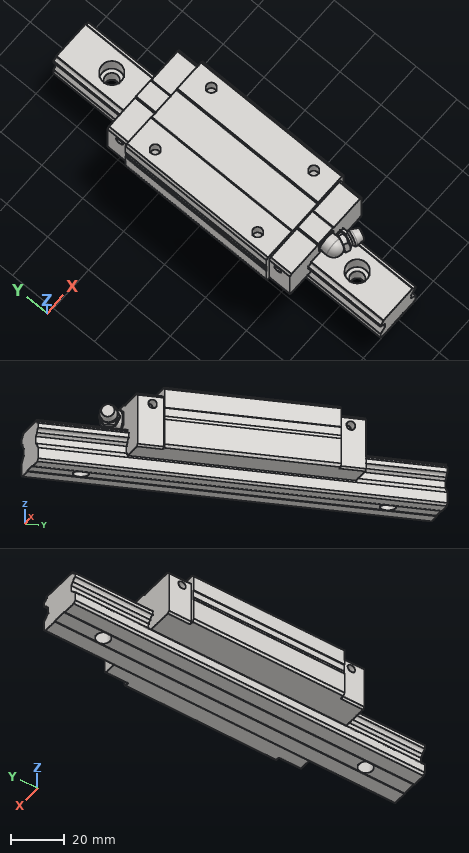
import cadquery as cq
import math


RAIL_LENGTH = 160.0
RAIL_HEIGHT = 16.6
RAIL_WIDTH = 20.0
RAIL_HALF_WIDTH = RAIL_WIDTH / 2
RAIL_TOP_HALF_WIDTH = 8.3
RAIL_WAIST_HALF_WIDTH = 7.4
RAIL_FOOT_CHAMFER = 1.0
FOOT_SIDE_TOP = 5.1
WAIST_BOTTOM = 7.7
WAIST_TOP = 10.4
LOWER_RACEWAY_BOTTOM = 11.5
LOWER_RACEWAY_TOP = 13.0
UPPER_RACEWAY_BOTTOM = 14.9
UPPER_RACEWAY_TOP = 16.2
RACEWAY_SAG = 0.3
UNDERCUT_HALF_WIDTH = 3.0
UNDERCUT_DEPTH = 0.3
RAIL_HOLE_SPACING = 120.0
RAIL_HOLE_DIAMETER = 6.0
RAIL_BORE_DIAMETER = 9.5
RAIL_BORE_DEPTH = 8.5

BLOCK_LENGTH = 69.0
BLOCK_WIDTH = 44.0
BLOCK_HALF_WIDTH = BLOCK_WIDTH / 2
BLOCK_BOTTOM = 6.2
BLOCK_TOP = 30.0
BLOCK_TOP_CHAMFER = 1.0
BLOCK_FOOT_CHAMFER_WIDTH = 0.6
BLOCK_FOOT_CHAMFER_HEIGHT = 1.3
TOP_RECESS_HALF_WIDTH = 7.0
TOP_RECESS_DEPTH = 0.5
SIDE_RECESS_TOP = 22.0
SIDE_RECESS_DEPTH = 0.2
SIDE_GROOVE_TOP = 18.5
SIDE_GROOVE_BOTTOM = 17.3
SIDE_GROOVE_SAG = 0.24
TAPPED_HOLE_DIAMETER = 4.2
TAPPED_HOLE_DEPTH = 6.0
TAPPED_HOLE_SPACING_X = 32.0
TAPPED_HOLE_SPACING_Y = 50.0
DRILL_POINT_ANGLE = 118.0

CARRIAGE_LENGTH = 89.3
CAP_HALF_WIDTH = 20.5
CAP_TOP = 27.2
CAP_TOP_CHAMFER = 1.0
CAP_FOOT_CHAMFER = 0.8
CAP_PAD_HALF_WIDTH = 4.2
CAP_PAD_HEIGHT = 0.5
PORT_DIAMETER = 3.4
PORT_DEPTH = 4.8
PORT_HEIGHT = 23.4
PORT_FROM_CAP_END = 6.0

NIPPLE_HEIGHT = 22.5
HEX_SIDES = 6
ELBOW_DIAMETER = 8.0
ELBOW_REACH = 3.8
FLANGE_ACROSS_FLATS = 8.2
FLANGE_THICKNESS = 0.5
OUTLET_ANGLE = 23.0
HEX_ACROSS_FLATS = 6.9
HEX_START = 3.0
HEX_END = 5.8
HEX_CHAMFER = 1.0
NECK_DIAMETER = 5.0
NECK_END = 6.7
HEAD_DIAMETER = 6.7
HEAD_WIDE_START = 7.5
HEAD_WIDE_END = 8.3
TIP_DIAMETER = 5.0
TIP_END = 11.5


def bulged_midpoint(start, end, bulge):
    """Middle point of an arc from start to end that bulges to the left of that direction."""
    dx = end[0] - start[0]
    dz = end[1] - start[1]
    chord = math.hypot(dx, dz)
    middle_x = (start[0] + end[0]) / 2 - bulge * dz / chord
    middle_z = (start[1] + end[1]) / 2 + bulge * dx / chord
    return (middle_x, middle_z)


def extrude_along_y(profile, length):
    """Solid of an XZ profile, centred on Y = 0."""
    return profile.extrude(length / 2, both=True)


def rail_envelope(length):
    """Rail outline without the underside recess and the bolt holes."""
    waist_x = RAIL_WAIST_HALF_WIDTH
    lower_start = (waist_x + LOWER_RACEWAY_BOTTOM - WAIST_TOP, LOWER_RACEWAY_BOTTOM)
    lower_end = (RAIL_HALF_WIDTH, LOWER_RACEWAY_TOP)
    upper_start = (RAIL_HALF_WIDTH, UPPER_RACEWAY_BOTTOM)
    upper_end = (RAIL_TOP_HALF_WIDTH, UPPER_RACEWAY_TOP)
    profile = (
        cq.Workplane("XZ")
        .lineTo(RAIL_HALF_WIDTH - RAIL_FOOT_CHAMFER, 0)
        .lineTo(RAIL_HALF_WIDTH, RAIL_FOOT_CHAMFER)
        .lineTo(RAIL_HALF_WIDTH, FOOT_SIDE_TOP)
        .lineTo(waist_x, WAIST_BOTTOM)
        .lineTo(waist_x, WAIST_TOP)
        .lineTo(*lower_start)
        .threePointArc(bulged_midpoint(lower_start, lower_end, RACEWAY_SAG), lower_end)
        .lineTo(*upper_start)
        .threePointArc(bulged_midpoint(upper_start, upper_end, RACEWAY_SAG), upper_end)
        .lineTo(RAIL_TOP_HALF_WIDTH, RAIL_HEIGHT)
        .lineTo(0, RAIL_HEIGHT)
        .mirrorY()
    )
    return extrude_along_y(profile, length)


def make_rail():
    rail = rail_envelope(RAIL_LENGTH)
    undercut = cq.Workplane("XY").box(
        2 * UNDERCUT_HALF_WIDTH, RAIL_LENGTH, UNDERCUT_DEPTH, centered=(True, True, False)
    )
    return (
        rail.cut(undercut)
        .copyWorkplane(cq.Workplane("XY", origin=(0, 0, RAIL_HEIGHT)))
        .rarray(1.6, RAIL_HOLE_SPACING, 1, 2)
        .cboreHole(RAIL_HOLE_DIAMETER, RAIL_BORE_DIAMETER, RAIL_BORE_DEPTH)
    )


def block_blank():
    """Middle section, with a shallow recess along its top and a recess and groove along each side."""
    recess_floor = BLOCK_TOP - TOP_RECESS_DEPTH
    recessed_x = BLOCK_HALF_WIDTH - SIDE_RECESS_DEPTH
    groove_start = (BLOCK_HALF_WIDTH, SIDE_GROOVE_BOTTOM)
    groove_end = (recessed_x, SIDE_GROOVE_TOP)
    profile = (
        cq.Workplane("XZ")
        .moveTo(0, BLOCK_BOTTOM)
        .lineTo(BLOCK_HALF_WIDTH - BLOCK_FOOT_CHAMFER_WIDTH, BLOCK_BOTTOM)
        .lineTo(BLOCK_HALF_WIDTH, BLOCK_BOTTOM + BLOCK_FOOT_CHAMFER_HEIGHT)
        .lineTo(*groove_start)
        .threePointArc(bulged_midpoint(groove_start, groove_end, SIDE_GROOVE_SAG), groove_end)
        .lineTo(recessed_x, SIDE_RECESS_TOP - SIDE_RECESS_DEPTH)
        .lineTo(BLOCK_HALF_WIDTH, SIDE_RECESS_TOP)
        .lineTo(BLOCK_HALF_WIDTH, BLOCK_TOP - BLOCK_TOP_CHAMFER)
        .lineTo(BLOCK_HALF_WIDTH - BLOCK_TOP_CHAMFER, BLOCK_TOP)
        .lineTo(TOP_RECESS_HALF_WIDTH + TOP_RECESS_DEPTH, BLOCK_TOP)
        .lineTo(TOP_RECESS_HALF_WIDTH, recess_floor)
        .lineTo(0, recess_floor)
        .mirrorY()
    )
    return extrude_along_y(profile, BLOCK_LENGTH)


def cap_blank():
    """End cap outline over the full carriage length, with a raised pad along its top."""
    pad_top = CAP_TOP + CAP_PAD_HEIGHT
    profile = (
        cq.Workplane("XZ")
        .moveTo(0, BLOCK_BOTTOM)
        .lineTo(CAP_HALF_WIDTH - CAP_FOOT_CHAMFER, BLOCK_BOTTOM)
        .lineTo(CAP_HALF_WIDTH, BLOCK_BOTTOM + CAP_FOOT_CHAMFER)
        .lineTo(CAP_HALF_WIDTH, CAP_TOP - CAP_TOP_CHAMFER)
        .lineTo(CAP_HALF_WIDTH - CAP_TOP_CHAMFER, CAP_TOP)
        .lineTo(CAP_PAD_HALF_WIDTH + CAP_PAD_HEIGHT, CAP_TOP)
        .lineTo(CAP_PAD_HALF_WIDTH, pad_top)
        .lineTo(0, pad_top)
        .mirrorY()
    )
    return extrude_along_y(profile, CARRIAGE_LENGTH)


def tapped_holes():
    """Four blind holes in the block top, each ending in a drill point."""
    radius = TAPPED_HOLE_DIAMETER / 2
    point_height = radius / math.tan(math.radians(DRILL_POINT_ANGLE / 2))
    drill = (
        cq.Workplane("XZ")
        .lineTo(radius, 0)
        .lineTo(radius, -TAPPED_HOLE_DEPTH)
        .lineTo(0, -TAPPED_HOLE_DEPTH - point_height)
        .close()
        .revolve(360, (0, 0), (0, 1))
        .val()
    )
    return (
        cq.Workplane("XY", origin=(0, 0, BLOCK_TOP))
        .rarray(TAPPED_HOLE_SPACING_X, TAPPED_HOLE_SPACING_Y, 2, 2)
        .eachpoint(lambda place: drill.moved(place), combine="a")
    )


def side_ports():
    """One blind port in each flank of each end cap."""
    port_y = CARRIAGE_LENGTH / 2 - PORT_FROM_CAP_END
    bar = cq.Workplane("YZ").pushPoints([(-port_y, PORT_HEIGHT), (port_y, PORT_HEIGHT)])
    full_width = bar.circle(PORT_DIAMETER / 2).extrude(CAP_HALF_WIDTH, both=True)
    between_ports = cq.Workplane("XY").box(
        2 * (CAP_HALF_WIDTH - PORT_DEPTH), CARRIAGE_LENGTH, 2 * BLOCK_TOP
    )
    return full_width.cut(between_ports)


def make_carriage():
    carriage = block_blank().union(cap_blank())
    for tool in (rail_envelope(CARRIAGE_LENGTH), tapped_holes(), side_ports()):
        carriage = carriage.cut(tool)
    return carriage


def nipple_outlet():
    """Hexagon and coupling head, built along +X from the centre of the elbow's round end."""
    hex_corner_diameter = HEX_ACROSS_FLATS / math.cos(math.pi / HEX_SIDES)
    hexagon = (
        cq.Workplane("YZ", origin=(HEX_START, 0, 0))
        .polygon(HEX_SIDES, hex_corner_diameter)
        .extrude(HEX_END - HEX_START)
    )
    chamfered_bar = (
        cq.Workplane("YZ", origin=(HEX_START, 0, 0))
        .circle(hex_corner_diameter / 2)
        .extrude(HEX_END - HEX_START)
        .faces(">X")
        .chamfer(HEX_CHAMFER)
    )
    head = (
        cq.Workplane("XY")
        .lineTo(0, NECK_DIAMETER / 2)
        .lineTo(NECK_END, NECK_DIAMETER / 2)
        .lineTo(HEAD_WIDE_START, HEAD_DIAMETER / 2)
        .lineTo(HEAD_WIDE_END, HEAD_DIAMETER / 2)
        .lineTo(TIP_END, TIP_DIAMETER / 2)
        .lineTo(TIP_END, 0)
        .close()
        .revolve(360, (0, 0), (1, 0))
    )
    return hexagon.intersect(chamfered_bar).union(head)


def make_nipple():
    seat_y = -CARRIAGE_LENGTH / 2
    seat = cq.Workplane("XZ", origin=(0, seat_y, NIPPLE_HEIGHT))
    flange_corner_diameter = FLANGE_ACROSS_FLATS / math.cos(math.pi / HEX_SIDES)
    corner_up_seat = seat.transformed(rotate=(0, 0, 90))
    flange = corner_up_seat.polygon(HEX_SIDES, flange_corner_diameter).extrude(FLANGE_THICKNESS)
    elbow = seat.circle(ELBOW_DIAMETER / 2).extrude(ELBOW_REACH)
    elbow_centre = (0, seat_y - ELBOW_REACH, NIPPLE_HEIGHT)
    round_end = cq.Workplane("XY", origin=elbow_centre).sphere(
        ELBOW_DIAMETER / 2, direct=(0, -1, 0), angle1=0, angle2=90
    )
    outlet = nipple_outlet().rotate((0, 0, 0), (0, 0, 1), -OUTLET_ANGLE).translate(elbow_centre)
    return flange.union(elbow).union(round_end).union(outlet)


rail = make_rail()
carriage = make_carriage()
nipple = make_nipple()

result = cq.Compound.makeCompound([*rail.solids().vals(), *carriage.solids().vals(), *nipple.solids().vals()])